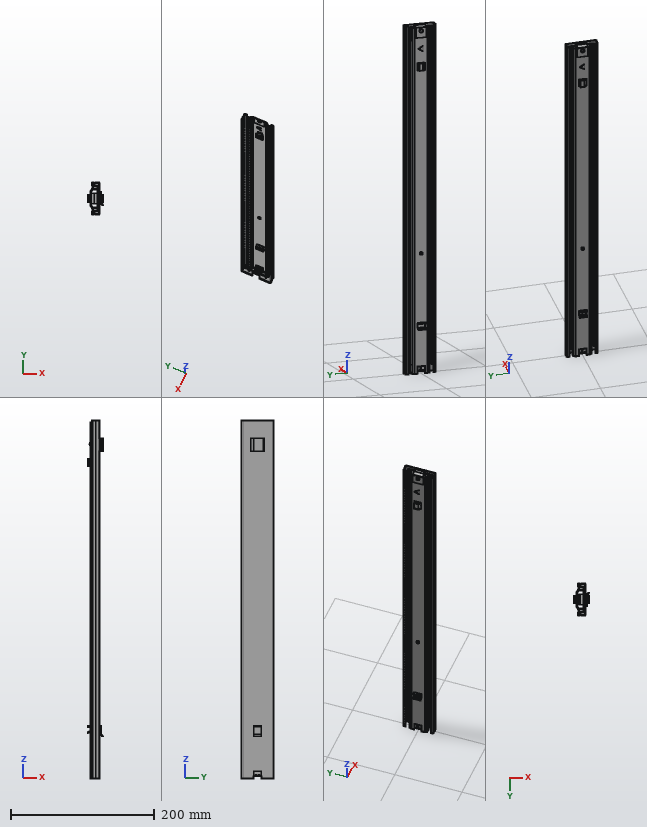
import cadquery as cq

SHEET = 1.25
END_Z = 250.0

OUTER_FRONT = -5.5
OUTER_BACK = 5.75
OUTER_HALF_WIDTH = 22.75
OUTER_LIP_END = 18.75
GROOVE_DEPTH = 0.75
GROOVE_HALF_LENGTH = 2.0
GROOVE_X = -1.5
OUTER_BEND = 2.0

MIDDLE_FRONT = -4.5
MIDDLE_BACK = 4.0
MIDDLE_HALF_WIDTH = 18.25
MIDDLE_LIP_END = 16.25
MIDDLE_BEND = 1.75
MIDDLE_BOTTOM = -238.5
MIDDLE_TOP = 246.5

INNER_FRONT = -7.0
INNER_LEDGE = -5.5
INNER_BACK = 1.0
INNER_WEB_HALF = 10.25
INNER_LEDGE_START = 12.5
INNER_HALF_WIDTH = 13.5
INNER_TOP = 247.5

HOLES = ((242.5, 5.0), (-77.5, 4.0))

HOOK_REACH = 10.5
WINDOW_HALF = 5.5
FRONT_HOOK_BOTTOM = 186.0
FRONT_HOOK_TOP = 196.5
FRONT_HOOK_BEND_Y = -2.0
FRONT_HOOK_TIP_Y = 4.25
LIP_WINDOW_BOTTOM = -184.0
LIP_WINDOW_TOP = -178.0
LIP_HEIGHT = 1.5
LIP_BEND_X = -8.5
LIP_TIP_DROP = 1.0
LANCE_RISE = 1.5
LANCE_BASE_Y = -2.25
LANCE_TIP_Y = 4.5
LANCE_Z = 217.0
LANCE_HALF_HEIGHT = 4.0
BACK_STANDOFF = 1.0
BACK_HOOK_HALF = 9.5
BACK_HOOK_BOTTOM = 207.0
BACK_HOOK_TOP = 225.0
FLARE_Y = 4.0
LOW_HOOK_TOP = -176.0
LOW_HOOK_TIP = -191.0
LOW_HOOK_FLARE = 3.0

NOTCH_TOP = -239.5
STOP_HALF_WIDTH = 7.5
STOP_BOTTOM = 232.5
STOP_CHAMFER_X = 4.25
CATCH_BOTTOM = -245.0
CATCH_DEPTH = 5.0
TOOTH_WIDTH = 2.5
TOOTH_LENGTH = 1.5
CATCH_SLOT_WIDTH = 1.5
CATCH_SLOT_HEIGHT = 3.0
CATCH_SLOT_Y = 0.75
CATCH_SLOT_DEPTH = 1.5
BUMPER_BOTTOM = 229.0
BUMPER_WIDTH = 1.0


def box(x0, x1, y0, y1, z0, z1):
    """Box between two opposite corners."""
    return cq.Workplane("XY").box(x1 - x0, y1 - y0, z1 - z0, centered=False).translate((x0, y0, z0))


def prism_along_z(points, z0, z1):
    """Prism of an XY outline."""
    return cq.Workplane("XY").workplane(offset=z0).polyline(points).close().extrude(z1 - z0)


def prism_along_y(points, half_width):
    """Prism of an XZ outline, centred on Y = 0."""
    return cq.Workplane("XZ").polyline(points).close().extrude(half_width, both=True)


def rounded_bar(x0, x1, half_width, radius, z0, z1):
    return box(x0, x1, -half_width, half_width, z0, z1).edges("|Z").fillet(radius)


def groove_segments(wall_y):
    """Two full-length circle segments that dip below side walls at -wall_y and +wall_y."""
    start_x = GROOVE_X - GROOVE_HALF_LENGTH
    end_x = GROOVE_X + GROOVE_HALF_LENGTH
    segment = (
        cq.Workplane("XY")
        .workplane(offset=-END_Z)
        .moveTo(start_x, wall_y)
        .threePointArc((GROOVE_X, wall_y - GROOVE_DEPTH), (end_x, wall_y))
        .close()
        .extrude(2 * END_Z)
    )
    return segment.union(segment.mirror("XZ"))


def end_notch():
    """Notch through the outer and inner webs at the lower end."""
    return box(INNER_FRONT, OUTER_BACK, -WINDOW_HALF, WINDOW_HALF, -END_Z, NOTCH_TOP)


def flared_hook_outline(root, flare_start, tip):
    """Outline of a back hook: a foot on the outer web, a plate parallel to it and a tip flared to +X."""
    inside = OUTER_BACK + BACK_STANDOFF
    outside = inside + SHEET
    return [
        (OUTER_BACK, root),
        (outside, root),
        (outside, flare_start),
        (HOOK_REACH, tip),
        (HOOK_REACH - SHEET, tip),
        (inside, flare_start),
        (inside, root - SHEET),
        (OUTER_BACK, root - SHEET),
    ]


def back_side_hook():
    """Hook on the outer web that reaches towards -Y."""
    outline = flared_hook_outline(BACK_HOOK_HALF, FLARE_Y - BACK_HOOK_HALF, -BACK_HOOK_HALF)
    return prism_along_z(outline, BACK_HOOK_BOTTOM, BACK_HOOK_TOP)


def back_low_hook():
    """Hook on the outer web that reaches towards -Z."""
    outline = flared_hook_outline(LOW_HOOK_TOP, LOW_HOOK_TIP + LOW_HOOK_FLARE, LOW_HOOK_TIP)
    return prism_along_y(outline, WINDOW_HALF)


def make_outer_member():
    body = rounded_bar(OUTER_FRONT, OUTER_BACK, OUTER_HALF_WIDTH, OUTER_BEND, -END_Z, END_Z)
    body = body.cut(groove_segments(OUTER_HALF_WIDTH))
    cavity_half = OUTER_HALF_WIDTH - SHEET
    cavity = rounded_bar(
        OUTER_FRONT + SHEET, OUTER_BACK - SHEET, cavity_half, OUTER_BEND - SHEET, -END_Z, END_Z
    )
    cavity = cavity.cut(groove_segments(cavity_half))
    mouth = box(OUTER_FRONT, 0, -OUTER_LIP_END, OUTER_LIP_END, -END_Z, END_Z)
    channel = body.cut(cavity).cut(mouth).cut(end_notch())
    return channel.union(back_side_hook()).union(back_low_hook())


def make_middle_member():
    body = rounded_bar(
        MIDDLE_FRONT, MIDDLE_BACK, MIDDLE_HALF_WIDTH, MIDDLE_BEND, MIDDLE_BOTTOM, MIDDLE_TOP
    )
    cavity = rounded_bar(
        MIDDLE_FRONT + SHEET,
        MIDDLE_BACK - SHEET,
        MIDDLE_HALF_WIDTH - SHEET,
        MIDDLE_BEND - SHEET,
        MIDDLE_BOTTOM,
        MIDDLE_TOP,
    )
    mouth = box(MIDDLE_FRONT, 0, -MIDDLE_LIP_END, MIDDLE_LIP_END, MIDDLE_BOTTOM, MIDDLE_TOP)
    return body.cut(cavity).cut(mouth)


def inner_channel():
    """Hat section: flat web, sloping shoulders, narrow ledges and straight side walls."""
    outer_half = [
        (INNER_FRONT, INNER_WEB_HALF),
        (INNER_LEDGE, INNER_LEDGE_START),
        (INNER_LEDGE, INNER_HALF_WIDTH),
        (INNER_BACK, INNER_HALF_WIDTH),
    ]
    inner_half = [
        (INNER_BACK, INNER_HALF_WIDTH - SHEET),
        (INNER_LEDGE + SHEET, INNER_HALF_WIDTH - SHEET),
        (INNER_FRONT + SHEET, INNER_WEB_HALF - SHEET / 2),
    ]
    half = outer_half + inner_half
    mirrored = [(x, -y) for x, y in reversed(half)]
    return prism_along_z(half + mirrored, -END_Z, INNER_TOP)


def front_hook():
    """Strip lanced out of the inner web: a root, a sloping riser and a plate parallel to the web."""
    back = INNER_FRONT + SHEET
    plate_back = SHEET - HOOK_REACH
    points = [
        (back, -WINDOW_HALF),
        (INNER_FRONT, -WINDOW_HALF),
        (-HOOK_REACH, FRONT_HOOK_BEND_Y),
        (-HOOK_REACH, FRONT_HOOK_TIP_Y),
        (plate_back, FRONT_HOOK_TIP_Y),
        (plate_back, FRONT_HOOK_BEND_Y + SHEET / 2),
        (back, SHEET - WINDOW_HALF),
    ]
    return prism_along_z(points, FRONT_HOOK_BOTTOM, FRONT_HOOK_TOP)


def window_lips():
    """Lips above and below the lower window; the lower one is bent downwards at its tip."""
    back = INNER_FRONT + SHEET
    upper = box(
        -HOOK_REACH, back, -WINDOW_HALF, WINDOW_HALF, LIP_WINDOW_TOP, LIP_WINDOW_TOP + LIP_HEIGHT
    )
    lower_z = LIP_WINDOW_BOTTOM - LIP_HEIGHT
    lower = prism_along_y(
        [
            (back, LIP_WINDOW_BOTTOM),
            (LIP_BEND_X, LIP_WINDOW_BOTTOM),
            (-HOOK_REACH, LIP_WINDOW_BOTTOM - LIP_TIP_DROP),
            (-HOOK_REACH, lower_z - LIP_TIP_DROP),
            (LIP_BEND_X, lower_z),
            (back, lower_z),
        ],
        WINDOW_HALF,
    )
    return upper.union(lower)


def triangular_lance():
    """Arrow-shaped lance that rises from its base to its tip."""
    back = INNER_FRONT + SHEET
    arrow = (
        cq.Workplane("YZ")
        .workplane(offset=INNER_FRONT - LANCE_RISE)
        .polyline(
            [
                (LANCE_BASE_Y, LANCE_Z - LANCE_HALF_HEIGHT),
                (LANCE_BASE_Y, LANCE_Z + LANCE_HALF_HEIGHT),
                (LANCE_TIP_Y, LANCE_Z),
            ]
        )
        .close()
        .extrude(LANCE_RISE + SHEET)
    )
    wedge = prism_along_z(
        [
            (back, LANCE_BASE_Y),
            (INNER_FRONT, LANCE_BASE_Y),
            (INNER_FRONT - LANCE_RISE, LANCE_TIP_Y),
            (back, LANCE_TIP_Y),
        ],
        LANCE_Z - LANCE_HALF_HEIGHT,
        LANCE_Z + LANCE_HALF_HEIGHT,
    )
    return arrow.intersect(wedge)


def make_inner_member():
    member = inner_channel()
    back = INNER_FRONT + SHEET
    for z, diameter in HOLES:
        hole = cq.Workplane("YZ", origin=(INNER_FRONT, 0, z)).circle(diameter / 2).extrude(SHEET)
        member = member.cut(hole)
    for z0, z1 in (
        (FRONT_HOOK_BOTTOM, FRONT_HOOK_TOP),
        (LIP_WINDOW_BOTTOM, LIP_WINDOW_TOP),
    ):
        member = member.cut(box(INNER_FRONT, back, -WINDOW_HALF, WINDOW_HALF, z0, z1))
    member = member.cut(end_notch())
    return member.union(front_hook()).union(window_lips()).union(triangular_lance())


def make_stop_block():
    """Block between the inner and middle webs at the upper end, with a sloping top."""
    front = INNER_FRONT + SHEET
    back = MIDDLE_BACK - SHEET
    points = [
        (front, STOP_BOTTOM),
        (front, INNER_TOP),
        (front + STOP_CHAMFER_X, END_Z),
        (back, END_Z),
        (back, STOP_BOTTOM),
    ]
    return prism_along_y(points, STOP_HALF_WIDTH)


def make_catch():
    """Catch that fills the top of the inner member's end notch, with three teeth below."""
    back = INNER_FRONT + CATCH_DEPTH
    catch = box(INNER_FRONT, back, -WINDOW_HALF, WINDOW_HALF, CATCH_BOTTOM, NOTCH_TOP)
    side_tooth_y = WINDOW_HALF - TOOTH_WIDTH / 2
    for y in (-side_tooth_y, 0, side_tooth_y):
        tooth = box(
            INNER_FRONT,
            back,
            y - TOOTH_WIDTH / 2,
            y + TOOTH_WIDTH / 2,
            CATCH_BOTTOM - TOOTH_LENGTH,
            CATCH_BOTTOM,
        )
        catch = catch.union(tooth)
    slot_z = (CATCH_BOTTOM + NOTCH_TOP) / 2
    slot = box(
        INNER_FRONT,
        INNER_FRONT + CATCH_SLOT_DEPTH,
        CATCH_SLOT_Y - CATCH_SLOT_WIDTH / 2,
        CATCH_SLOT_Y + CATCH_SLOT_WIDTH / 2,
        slot_z - CATCH_SLOT_HEIGHT / 2,
        slot_z + CATCH_SLOT_HEIGHT / 2,
    )
    return catch.cut(slot)


def make_bumper(side):
    """Bumper between the middle web and the inner side wall; side is +1 or -1 along Y."""
    wall_y = side * INNER_HALF_WIDTH
    y0, y1 = sorted((wall_y, wall_y + side * BUMPER_WIDTH))
    return box(MIDDLE_FRONT, MIDDLE_BACK - SHEET, y0, y1, BUMPER_BOTTOM, MIDDLE_TOP)


outer_member = make_outer_member()
middle_member = make_middle_member()
inner_member = make_inner_member()
stop_block = make_stop_block()
catch = make_catch()
bumpers = [make_bumper(side) for side in (-1, 1)]

result = cq.Compound.makeCompound(
    [
        outer_member.val(),
        middle_member.val(),
        inner_member.val(),
        stop_block.val(),
        catch.val(),
        *[bumper.val() for bumper in bumpers],
    ]
)